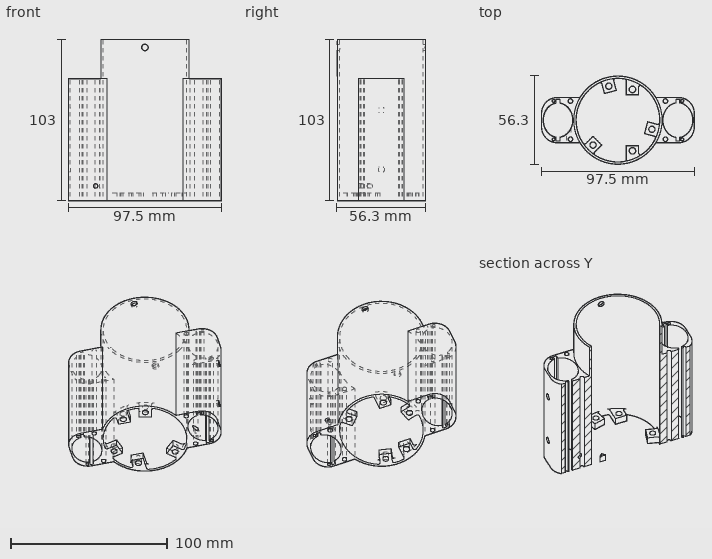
import cadquery as cq
import math

tube_height = 103.0
tube_diameter = 56.3
bore_diameter = 53.3
bore_radius = bore_diameter / 2
tube_hole_diameter = 4.0
tube_hole_z = 97.8

overall_length = 97.5
pod_width = 29.0
pod_height = 78.0
pod_corner_radius = 10.2

oval_x = 38.2
oval_radius_x = 9.5
oval_radius_y = 11.0
notch_width = 2.3
notch_tip_y = 13.2

small_hole_diameter = 1.8
small_hole_x = 41.0
small_hole_y = 12.3
large_hole_diameter = 2.8
large_hole_x = 30.3
large_hole_y = 12.2

end_hole_diameter = 4.0
end_hole_heights = (20.1, 57.9)
face_hole_diameter = 2.8
face_hole_x = -31.4
face_hole_z = 9.6

tab_width = 7.9
tab_thickness = 5.0
tab_root_fillet = 1.2
radial_tab_angles = (-15, 105, 225)
radial_tab_reach = 18.5
radial_hole_reach = 22.5
radial_hole_diameter = 3.8
paired_tab_angles = (90, -90)
paired_tab_x = 9.3
paired_tab_reach = 16.2
paired_hole_reach = 19.6
paired_hole_diameter = 4.0


def make_pods():
    """Both pods as one rounded block running through the tube."""
    block = cq.Workplane("XY").rect(overall_length, pod_width).extrude(pod_height)
    return block.edges("|Z").fillet(pod_corner_radius)


def make_pod_openings(side):
    """Oval bore, notches and screw holes of the pod on one side (-1 or 1)."""
    openings = (
        cq.Workplane("XY")
        .center(side * oval_x, 0)
        .ellipse(oval_radius_x, oval_radius_y)
        .extrude(pod_height)
    )
    notches = cq.Workplane("XY").center(side * oval_x, 0).rect(notch_width, 2 * notch_tip_y)
    openings = openings.union(notches.extrude(pod_height))
    for x, y, diameter in (
        (small_hole_x, small_hole_y, small_hole_diameter),
        (large_hole_x, large_hole_y, large_hole_diameter),
    ):
        holes = cq.Workplane("XY").pushPoints([(side * x, y), (side * x, -y)])
        openings = openings.union(holes.circle(diameter / 2).extrude(pod_height))
    return openings


def make_tab(angle, sideways, reach, hole_reach, hole_diameter):
    """Pierced tab running inward from the middle of the tube wall, turned by angle."""
    outer_end = (tube_diameter + bore_diameter) / 4
    tab = (
        cq.Workplane("XY")
        .center((reach + outer_end) / 2, sideways)
        .rect(outer_end - reach, tab_width)
        .extrude(tab_thickness)
    )
    hole = cq.Workplane("XY").center(hole_reach, sideways).circle(hole_diameter / 2)
    tab = tab.cut(hole.extrude(tab_thickness))
    envelope = cq.Workplane("XY").circle(outer_end).extrude(tab_thickness)
    return tab.intersect(envelope).rotate((0, 0, 0), (0, 0, 1), angle)


def is_tab_root(edge):
    """True for an upright edge where a tab meets the tube bore."""
    center = edge.Center()
    return math.isclose(math.hypot(center.x, center.y), bore_radius, abs_tol=0.01) and math.isclose(
        edge.Length(), tab_thickness, abs_tol=0.01
    )


body = cq.Workplane("XY").circle(tube_diameter / 2).extrude(tube_height)
body = body.union(make_pods())
body = body.cut(cq.Workplane("XY").circle(bore_radius).extrude(tube_height))

for tab_angle in radial_tab_angles:
    body = body.union(make_tab(tab_angle, 0, radial_tab_reach, radial_hole_reach, radial_hole_diameter))
for tab_angle in paired_tab_angles:
    tab_sideways = -paired_tab_x * math.sin(math.radians(tab_angle))
    body = body.union(
        make_tab(tab_angle, tab_sideways, paired_tab_reach, paired_hole_reach, paired_hole_diameter)
    )
body = body.edges("|Z").filter(is_tab_root).fillet(tab_root_fillet)

for pod_side in (-1, 1):
    body = body.cut(make_pod_openings(pod_side))

tube_hole = cq.Workplane("XZ").center(0, tube_hole_z).circle(tube_hole_diameter / 2)
body = body.cut(tube_hole.extrude(tube_diameter / 2, both=True))

end_holes = (
    cq.Workplane("YZ", origin=(-overall_length / 2, 0, 0))
    .pushPoints([(0, z) for z in end_hole_heights])
    .circle(end_hole_diameter / 2)
    .extrude(overall_length / 2 - oval_x)
)
body = body.cut(end_holes)

face_hole = cq.Workplane("XZ").center(face_hole_x, face_hole_z).circle(face_hole_diameter / 2)
result = body.cut(face_hole.extrude(pod_width / 2))